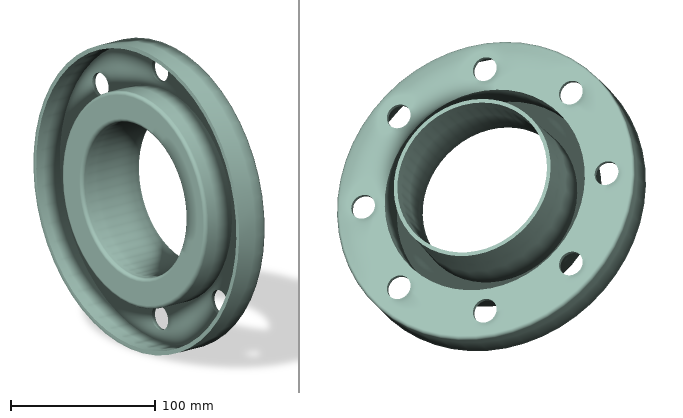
import cadquery as cq

wall = 3.0
bend_radius = 2.5

total_depth = 52.0
flange_front = 2.6
flange_depth = 24.5
flange_back = flange_front + flange_depth
web_front = flange_back - wall

flange_radius = 110.0
rim_inner_radius = flange_radius - wall
boss_radius = 77.0
boss_inner_radius = boss_radius - wall
bore_radius = 55.3

hub_base_radius = 59.4
hub_end_radius = 58.0

hole_count = 8
hole_diameter = 17.5
hole_circle_radius = 90.0


def make_body():
    """Revolve the wall section: rim, web, raised boss and rearward hub."""
    section = (
        cq.Workplane("YZ")
        .moveTo(total_depth, bore_radius)
        .lineTo(bend_radius, bore_radius)
        .radiusArc((0, bore_radius + bend_radius), bend_radius)
        .lineTo(0, boss_radius - bend_radius)
        .radiusArc((bend_radius, boss_radius), bend_radius)
        .lineTo(web_front, boss_radius)
        .lineTo(web_front, rim_inner_radius)
        .lineTo(flange_front, rim_inner_radius)
        .lineTo(flange_front, flange_radius)
        .lineTo(flange_back - bend_radius, flange_radius)
        .radiusArc((flange_back, flange_radius - bend_radius), bend_radius)
        .lineTo(flange_back, boss_inner_radius)
        .lineTo(wall, boss_inner_radius)
        .lineTo(wall, hub_base_radius)
        .lineTo(total_depth, hub_end_radius)
        .close()
    )
    return section.revolve(360, (0, 0, 0), (1, 0, 0))


def drill_bolt_holes(body):
    """Cut the evenly spaced bolt holes through the web."""
    holes = (
        cq.Workplane("XZ")
        .polarArray(hole_circle_radius, 0, 360, hole_count)
        .circle(hole_diameter / 2)
        .extrude(-total_depth)
    )
    return body.cut(holes)


result = drill_bolt_holes(make_body())